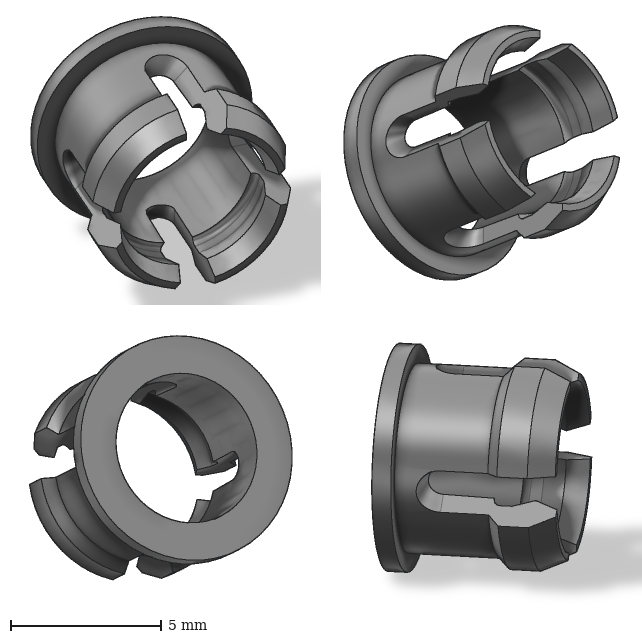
import cadquery as cq
import math

length = 6.09
flange_thickness = 0.65
neck_end = 3.81
barb_start = 4.19
barb_end = 5.22
groove_start = 3.92
groove_end = 4.56
lip_position = 5.33

flange_radius = 3.81
body_radius = 3.18
barb_radius = 3.54
tip_radius = 3.125

bore_radius = 2.54
bore_end_radius = 2.62
groove_radius = 2.85
lip_radius = 2.62
tip_inner_radius = 2.88
groove_corner = groove_radius - bore_end_radius

slot_center_x = 2.18
slot_straight_wall = 0.5
slope_offset = 2.07
slot_inner_depth = 1.905
slot_outer_depth = 3.96
slot_run_out = 0.38


def sleeve():
    """Revolve the wall section of the flanged, barbed sleeve about X."""
    arc_shift = groove_corner * math.sqrt(0.5)
    arc_middle = (
        groove_start + groove_corner - arc_shift,
        groove_radius - groove_corner + arc_shift,
    )
    section = (
        cq.Workplane("XY")
        .moveTo(0, bore_radius)
        .lineTo(0, flange_radius)
        .lineTo(flange_thickness, flange_radius)
        .lineTo(flange_thickness, body_radius)
        .lineTo(neck_end, body_radius)
        .lineTo(barb_start, barb_radius)
        .lineTo(barb_end, barb_radius)
        .lineTo(length, tip_radius)
        .lineTo(length, tip_inner_radius)
        .lineTo(lip_position, lip_radius)
        .lineTo(groove_end, groove_radius)
        .lineTo(groove_start + groove_corner, groove_radius)
        .threePointArc(arc_middle, (groove_start, bore_end_radius))
        .close()
    )
    return section.revolve(360, (0, 0, 0), (1, 0, 0))


def slot_outline(depth):
    """Round-ended slot outline at a given distance from the axis on the -Y side."""
    lower_z = slope_offset - depth
    radius = (slot_straight_wall - lower_z) / 2
    middle_z = (slot_straight_wall + lower_z) / 2
    open_end = length + slot_run_out
    outline = (
        cq.Workplane("XZ", origin=(0, -depth, 0))
        .moveTo(open_end, slot_straight_wall)
        .lineTo(slot_center_x, slot_straight_wall)
        .threePointArc((slot_center_x - radius, middle_z), (slot_center_x, lower_z))
        .lineTo(open_end, lower_z)
        .close()
    )
    return outline.val()


def flared_slot():
    """Slot on the -Y side, flaring outward towards -Z with a conical closed end."""
    inner = slot_outline(slot_inner_depth)
    outer = slot_outline(slot_outer_depth)
    return cq.Workplane(cq.Solid.makeLoft([inner, outer], True))


axis_start = (0, 0, 0)
axis_end = (1, 0, 0)

side_slot = flared_slot()
bottom_slot = side_slot.mirror("XZ").rotate(axis_start, axis_end, -90)

result = sleeve()
for slot in (side_slot, bottom_slot):
    for angle in (0, 180):
        result = result.cut(slot.rotate(axis_start, axis_end, angle))